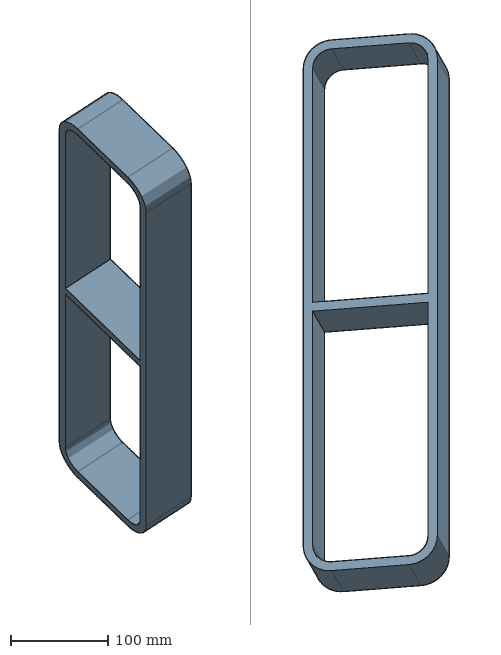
import cadquery as cq

width = 140.5
depth = 60.0
height = 586.0

wall = 10.0
outer_radius = 30.0
inner_radius = outer_radius - wall


def rounded_block(size_x, size_z, corner_radius):
    """Centred block as deep as the frame, with its four corners rounded."""
    return cq.Workplane("XY").box(size_x, depth, size_z).edges("|Y").fillet(corner_radius)


opening = rounded_block(width - 2 * wall, height - 2 * wall, inner_radius)
frame = rounded_block(width, height, outer_radius).cut(opening)

shelf = cq.Workplane("XY").box(width - wall, depth, wall)

result = frame.union(shelf)